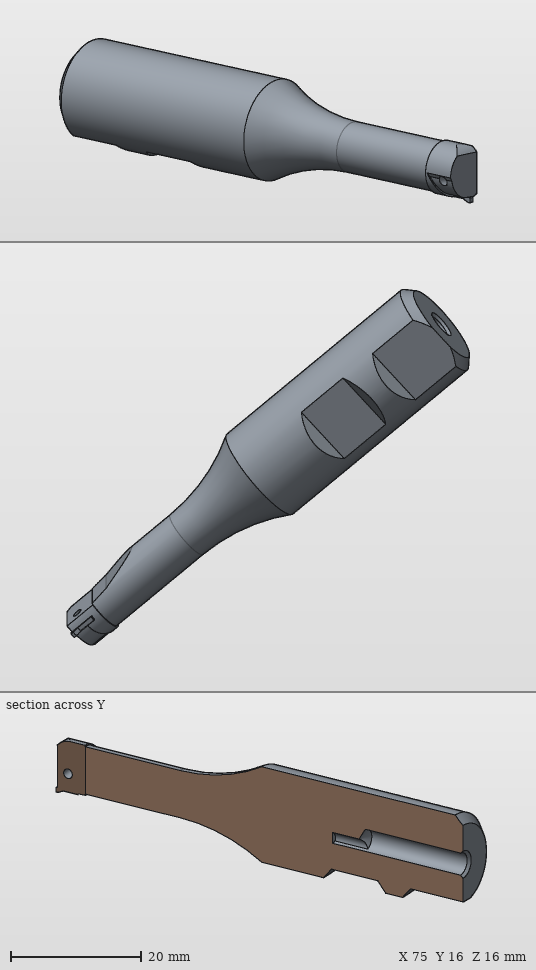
import cadquery as cq
import math

shank_radius = 7.99
neck_radius = 4.0
shank_chamfer = 1.4
shank_end = 37.05
flare_arc_radius = 30.0
neck_end = 69.6
tool_length = 75.0

flat_height = -6.2
flat_slope_run = 1.5
rear_flat_end = 9.7
middle_flat_start = 15.75
middle_flat_end = 24.2

bore_radius = 1.8
bore_mouth_radius = 2.25
bore_depth = 18.0
bore_tip_length = bore_radius / math.tan(math.radians(59))

branch_radius = 1.2
branch_y = 0.45
branch_z = -1.2
branch_end = 24.0

relief_start = 59.8
relief_slope_end = 66.4
relief_slope_y = 2.4
relief_end_y = 2.0

head_radius = 4.2
head_side_y = 1.9
head_nose_x = 74.85
head_nose_front_x = 74.5
nose_round_start = 72.2
nose_round_end_z = 2.9
nose_round_mid = (73.65, 3.9)

gullet_floor_radius = 3.9
gullet_outer_top_z = 0.1
gullet_inner_top_z = -0.5
gullet_rear_x = 69.9
gullet_bottom_x = 72.3

lip_rear_x = 70.5
lip_heel_x = 70.95
lip_heel_z = -4.35
lip_nose_rear_x = 73.65
tip_bottom_z = -4.8
tip_bottom_x = 74.55
tip_front_z = -4.05
lip_thickness = 0.75
lip_root_z = -3.8

outlet_x = 72.75
outlet_z = -1.3
outlet_radius = 0.75
outlet_tilt = 7.0

clearance = 15.0


def make_shank_blank():
    """Turned shank, concave flare and slender neck, with its clamping end chamfered."""
    radius_drop = shank_radius - neck_radius
    flare_length = math.sqrt(2 * flare_arc_radius * radius_drop - radius_drop**2)
    flare_end = shank_end + flare_length
    half_angle = math.asin(flare_length / flare_arc_radius) / 2
    flare_middle = (
        flare_end - flare_arc_radius * math.sin(half_angle),
        neck_radius + flare_arc_radius * (1 - math.cos(half_angle)),
    )
    return (
        cq.Workplane("XY")
        .lineTo(0, shank_radius - shank_chamfer)
        .lineTo(shank_chamfer, shank_radius)
        .lineTo(shank_end, shank_radius)
        .threePointArc(flare_middle, (flare_end, neck_radius))
        .lineTo(neck_end, neck_radius)
        .lineTo(neck_end, 0)
        .close()
        .revolve(360, (0, 0, 0), (1, 0, 0))
    )


def make_flats():
    """Rear and middle clamping flats, with sloping walls."""
    bottom = -shank_radius
    rear = [
        (0, flat_height),
        (rear_flat_end, flat_height),
        (rear_flat_end + flat_slope_run, bottom),
        (0, bottom),
    ]
    middle = [
        (middle_flat_start, flat_height),
        (middle_flat_end, flat_height),
        (middle_flat_end + flat_slope_run, bottom),
        (middle_flat_start - flat_slope_run, bottom),
    ]
    cuts = cq.Workplane("XZ")
    for outline in (rear, middle):
        cuts = cuts.polyline(outline).close()
    return cuts.extrude(clearance, both=True)


def make_bore():
    """Blind bore with a countersunk mouth and a drill point."""
    return (
        cq.Workplane("XY")
        .lineTo(0, bore_mouth_radius)
        .lineTo(bore_mouth_radius - bore_radius, bore_radius)
        .lineTo(bore_depth, bore_radius)
        .lineTo(bore_depth + bore_tip_length, 0)
        .close()
        .revolve(360, (0, 0, 0), (1, 0, 0))
    )


def make_branch():
    """Offset blind branch, kept within the width of the bore."""
    branch = cq.Workplane("YZ").center(branch_y, branch_z).circle(branch_radius).extrude(branch_end)
    limit = cq.Workplane("YZ").circle(bore_radius).extrude(branch_end)
    return branch.intersect(limit)


def make_neck_relief():
    """Sloping relief that blends into the flat side of the head."""
    return (
        cq.Workplane("XY")
        .moveTo(relief_start, neck_radius)
        .lineTo(relief_slope_end, relief_slope_y)
        .lineTo(neck_end, relief_end_y)
        .lineTo(neck_end, neck_radius)
        .close()
        .extrude(clearance, both=True)
    )


def make_holder():
    holder = make_shank_blank()
    for cutter in (make_flats(), make_bore(), make_branch(), make_neck_relief()):
        holder = holder.cut(cutter)
    return holder


def make_head_blank():
    """Round bar with a flat +Y side, a raked end face and a rounded top corner."""
    bar = cq.Workplane("YZ", origin=(neck_end, 0, 0)).circle(head_radius).extrude(tool_length - neck_end)
    plan = (
        cq.Workplane("XY")
        .polyline([
            (neck_end, -head_radius),
            (head_nose_front_x, -head_radius),
            (head_nose_x, head_side_y),
            (neck_end, head_side_y),
        ])
        .close()
        .extrude(clearance, both=True)
    )
    side = (
        cq.Workplane("XZ")
        .moveTo(neck_end, head_radius)
        .lineTo(nose_round_start, head_radius)
        .threePointArc(nose_round_mid, (head_nose_x, nose_round_end_z))
        .lineTo(head_nose_x, -head_radius)
        .lineTo(neck_end, -head_radius)
        .close()
        .extrude(clearance, both=True)
    )
    return bar.intersect(plan).intersect(side)


def make_gullet():
    """Shallow chip space on the -Y side, with a sloping ledge above and a slanted rear wall."""
    side = (
        cq.Workplane("XZ")
        .polyline([
            (gullet_rear_x, gullet_outer_top_z),
            (tool_length, gullet_outer_top_z),
            (tool_length, -head_radius),
            (gullet_bottom_x, -head_radius),
        ])
        .close()
        .extrude(clearance)
    )
    section = (
        cq.Workplane("YZ")
        .polyline([
            (-head_radius, gullet_outer_top_z),
            (-gullet_floor_radius, gullet_inner_top_z),
            (0, gullet_inner_top_z),
            (0, -head_radius),
            (-head_radius, -head_radius),
        ])
        .close()
        .extrude(tool_length)
    )
    floor = cq.Workplane("YZ").circle(gullet_floor_radius).extrude(tool_length)
    return side.intersect(section).cut(floor)


def make_cutting_lip():
    """Lip with a pointed cutting corner that projects below and ahead of the head."""
    return (
        cq.Workplane("XZ")
        .polyline([
            (lip_rear_x, lip_root_z),
            (lip_heel_x, lip_heel_z),
            (lip_nose_rear_x, lip_heel_z),
            (tip_bottom_x, tip_bottom_z),
            (tool_length, tip_bottom_z),
            (tool_length, tip_front_z),
            (tip_bottom_x, lip_root_z),
        ])
        .close()
        .extrude(-lip_thickness)
    )


def make_outlet():
    """Coolant hole that falls toward +Y."""
    angle = math.radians(outlet_tilt)
    direction = cq.Vector(0, math.cos(angle), -math.sin(angle))
    start = cq.Vector(outlet_x, 0, outlet_z) - direction * clearance
    return cq.Solid.makeCylinder(outlet_radius, 2 * clearance, start, direction)


def make_head():
    return make_head_blank().cut(make_gullet()).union(make_cutting_lip()).cut(make_outlet())


holder = make_holder()
head = make_head()
result = cq.Compound.makeCompound([holder.val(), head.val()])